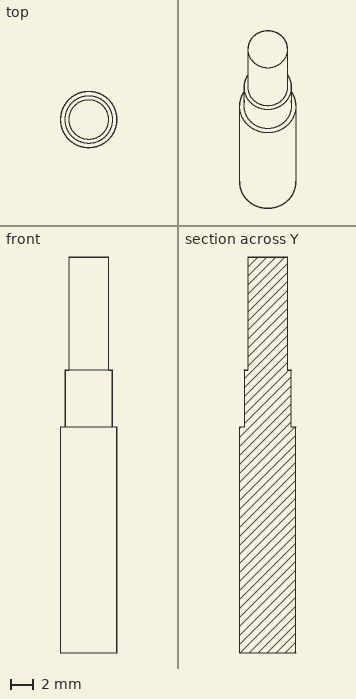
import cadquery as cq

BODY_DIAMETER = 5.0
BODY_LENGTH = 20.0
COLLAR_DIAMETER = 4.2
COLLAR_LENGTH = 5.0
TIP_DIAMETER = 3.5
TIP_LENGTH = 10.0


def cylinder(diameter, length, base_z):
    """Solid cylinder on the Z axis, rising from base_z."""
    return cq.Workplane("XY").workplane(offset=base_z).circle(diameter / 2).extrude(length)


collar_base = BODY_LENGTH
tip_base = collar_base + COLLAR_LENGTH

body = cylinder(BODY_DIAMETER, BODY_LENGTH, 0)
collar = cylinder(COLLAR_DIAMETER, COLLAR_LENGTH, collar_base)
tip = cylinder(TIP_DIAMETER, TIP_LENGTH, tip_base)

result = body.union(collar).union(tip)